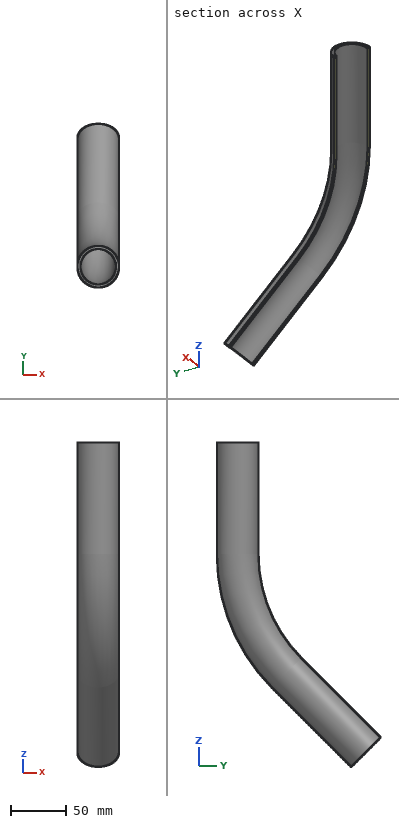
import cadquery as cq
import math

overall_height = 294.7
outer_diameter = 38.0
inner_diameter = 32.0
bend_radius = 152.3
bend_angle = 45.0

outer_radius = outer_diameter / 2
bend_sin = math.sin(math.radians(bend_angle))
bend_cos = math.cos(math.radians(bend_angle))

leg_length = (overall_height - (bend_radius + outer_radius) * bend_sin) / (1 + bend_cos)


def bend_point(angle):
    """Centreline (Y, Z) point after turning by angle; the bend starts at the origin."""
    turn = math.radians(angle)
    return bend_radius * (1 - math.cos(turn)), -bend_radius * math.sin(turn)


bend_end = bend_point(bend_angle)
lower_end = (bend_end[0] + leg_length * bend_sin, bend_end[1] - leg_length * bend_cos)
centreline = (
    cq.Workplane("YZ")
    .moveTo(0, leg_length)
    .lineTo(0, 0)
    .threePointArc(bend_point(bend_angle / 2), bend_end)
    .lineTo(*lower_end)
)

result = (
    cq.Workplane("XY", origin=(0, 0, leg_length))
    .circle(outer_radius)
    .circle(inner_diameter / 2)
    .sweep(centreline)
)